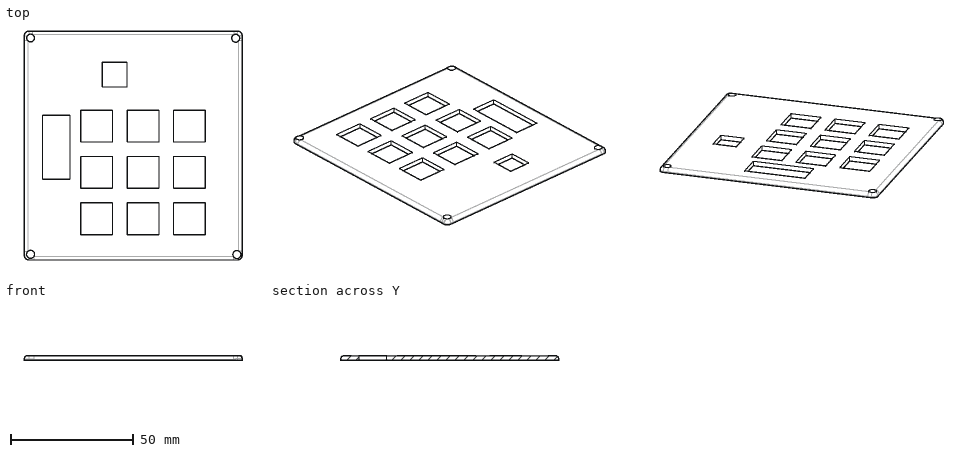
import cadquery as cq

width = 89.24
depth = 93.69
thickness = 2.0
corner_radius = 2.0
top_fillet = 1.5

screw_holes = [
    (-42.0, -44.5, 3.2),
    (42.4, -44.6, 3.2),
    (-42.0, 44.0, 3.12),
    (41.9, 43.9, 3.18),
]

key_size = 12.9
key_pitch = 18.95
key_grid_x = 4.0
key_grid_y = -11.0
grid_steps = (-1, 0, 1)

small_window_size = 10.0
small_window_x = -7.6
small_window_y = 29.0

tall_window_width = 11.2
tall_window_height = 26.0
tall_window_x = -31.5
tall_window_y = -0.7


def drilled_plate():
    """Plate with rounded corners and the screw holes, its top outer edge still sharp."""
    plate = cq.Workplane("XY").rect(width, depth).extrude(thickness)
    plate = plate.edges("|Z").fillet(corner_radius)
    for x, y, diameter in screw_holes:
        plate = plate.cut(cq.Workplane("XY").center(x, y).circle(diameter / 2).extrude(thickness))
    return plate


def round_top_edge(plate):
    """Fillet the outline of the top face, leaving the hole rims sharp."""
    outline = plate.faces(">Z").val().outerWire()
    return plate.newObject(outline.Edges()).fillet(top_fillet)


def window(x, y, size_x, size_y):
    """Cutter for a rectangular opening through the plate."""
    return cq.Workplane("XY").center(x, y).rect(size_x, size_y).extrude(thickness)


def cut_key_grid(plate):
    """Cut the three by three grid of square key openings."""
    for column in grid_steps:
        for row in grid_steps:
            key_x = key_grid_x + column * key_pitch
            key_y = key_grid_y + row * key_pitch
            plate = plate.cut(window(key_x, key_y, key_size, key_size))
    return plate


result = round_top_edge(drilled_plate())
result = cut_key_grid(result)
result = result.cut(window(small_window_x, small_window_y, small_window_size, small_window_size))
result = result.cut(window(tall_window_x, tall_window_y, tall_window_width, tall_window_height))